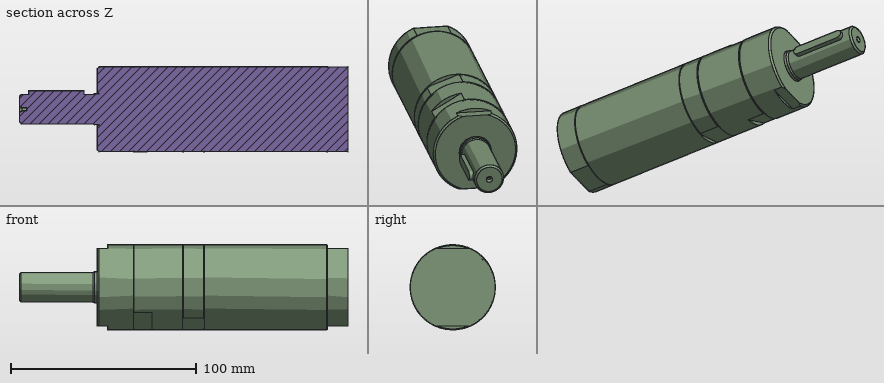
import cadquery as cq
import math

total_length = 177.5
collar_start = 39.7
body_start = 42.0
front_flat_end = 47.7
pocket_start = 61.5
pocket_end = 71.7
waist_start = 88.0
waist_end = 100.0
rear_cap_start = 166.4

body_diameter = 46.0
shaft_diameter = 16.0
collar_diameter = 16.95
front_recess_diameter = 17.5

front_recess_depth = 1.0

body_chamfer = 1.0
tube_chamfer = 0.5
shaft_chamfer = 1.0
collar_taper_length = 1.0

across_flats = 42.0
pocket_tilt = 30.0
waist_tilt = 20.0

key_start = 5.0
key_length = 30.0
key_width = 5.0
key_top = 10.0
key_height = 5.0

centre_hole_diameter = 1.6
centre_cone_diameter = 3.35
centre_hole_depth = 4.0
centre_cone_angle = 60.0
centre_cone_step = (centre_cone_diameter - centre_hole_diameter) / 2
centre_cone_depth = centre_cone_step / math.tan(math.radians(centre_cone_angle / 2))


def revolve_profile(points):
    """Revolve an outline of (station, radius) points about the X axis."""
    outline = cq.Workplane("XY").polyline(points).close()
    return outline.revolve(360, (0, 0, 0), (1, 0, 0))


def make_turned_body():
    shaft_radius = shaft_diameter / 2
    body_radius = body_diameter / 2
    edge_radius = body_radius - tube_chamfer
    recess_floor = body_start + front_recess_depth
    return revolve_profile([
        (0, 0),
        (0, shaft_radius - shaft_chamfer),
        (shaft_chamfer, shaft_radius),
        (collar_start, shaft_radius),
        (collar_start + collar_taper_length, collar_diameter / 2),
        (recess_floor, collar_diameter / 2),
        (recess_floor, front_recess_diameter / 2),
        (body_start, front_recess_diameter / 2),
        (body_start, body_radius - body_chamfer),
        (body_start + body_chamfer, body_radius),
        (pocket_start, body_radius),
        (pocket_start, edge_radius),
        (pocket_start + tube_chamfer, body_radius),
        (waist_start, body_radius),
        (waist_start, edge_radius),
        (waist_start + tube_chamfer, body_radius),
        (waist_end - tube_chamfer, body_radius),
        (waist_end, edge_radius),
        (waist_end, body_radius),
        (rear_cap_start - tube_chamfer, body_radius),
        (rear_cap_start, edge_radius),
        (rear_cap_start, body_radius),
        (total_length, body_radius),
        (total_length, 0),
    ])


def make_flat_cutter(start, end, tilt):
    """Pair of blocks outside the across-flats distance; positive tilt turns the upper one toward +Y."""
    block = cq.Workplane("XY").box(end - start, 2 * body_diameter, body_diameter)
    centre_x = (start + end) / 2
    centre_z = (across_flats + body_diameter) / 2
    upper = block.translate((centre_x, 0, centre_z))
    lower = block.translate((centre_x, 0, -centre_z))
    return upper.union(lower).rotate((0, 0, 0), (1, 0, 0), -tilt)


def make_key():
    outline = cq.Workplane("XZ", origin=(key_start + key_length / 2, key_top, 0))
    return outline.slot2D(key_length, key_width).extrude(key_height)


def make_centre_drilling():
    hole_radius = centre_hole_diameter / 2
    return revolve_profile([
        (0, 0),
        (0, centre_cone_diameter / 2),
        (centre_cone_depth, hole_radius),
        (centre_hole_depth, hole_radius),
        (centre_hole_depth, 0),
    ])


motor = make_turned_body()
for start, end, tilt in [
    (body_start, front_flat_end, 0),
    (pocket_start, pocket_end, pocket_tilt),
    (waist_start, waist_end, waist_tilt),
    (rear_cap_start, total_length, 0),
]:
    motor = motor.cut(make_flat_cutter(start, end, tilt))
motor = motor.union(make_key()).cut(make_centre_drilling())

result = motor.translate((-total_length / 2, 0, 0))